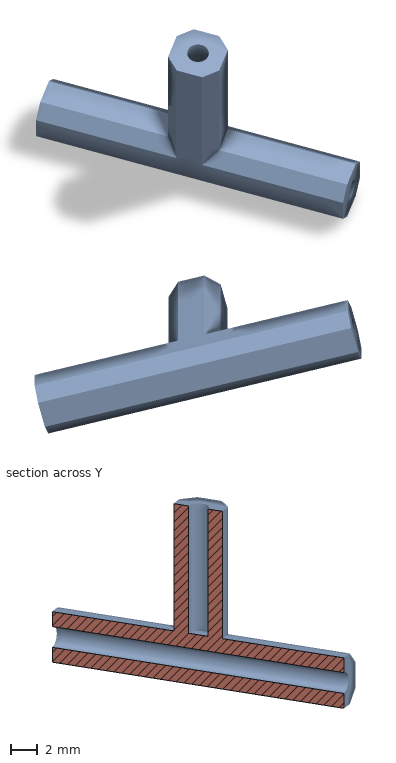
import cadquery as cq

bar_length = 24.0
overall_height = 14.0
width = 4.0
chamfer = 1.0
bore_diameter = 1.6

bar_top = width / 2
post_height = overall_height - width / 2
post_bore_depth = post_height - bar_top


def eight_sided_bar(length):
    """Square bar with its four long edges chamfered, rising from Z = 0."""
    bar = cq.Workplane("XY").rect(width, width).extrude(length)
    return bar.edges("|Z").chamfer(chamfer)


def bore(length):
    """Cylinder that cuts a bore, rising from Z = 0."""
    return cq.Workplane("XY").circle(bore_diameter / 2).extrude(length)


def lay_along_x(body):
    """Turn a vertical body of the bar's length onto X, centred on the origin."""
    turned = body.rotate((0, 0, 0), (0, 1, 0), 90)
    return turned.translate((-bar_length / 2, 0, 0))


tee = lay_along_x(eight_sided_bar(bar_length)).union(eight_sided_bar(post_height))

bar_bore = lay_along_x(bore(bar_length))
post_bore = bore(post_bore_depth).translate((0, 0, bar_top))
result = tee.cut(bar_bore).cut(post_bore)